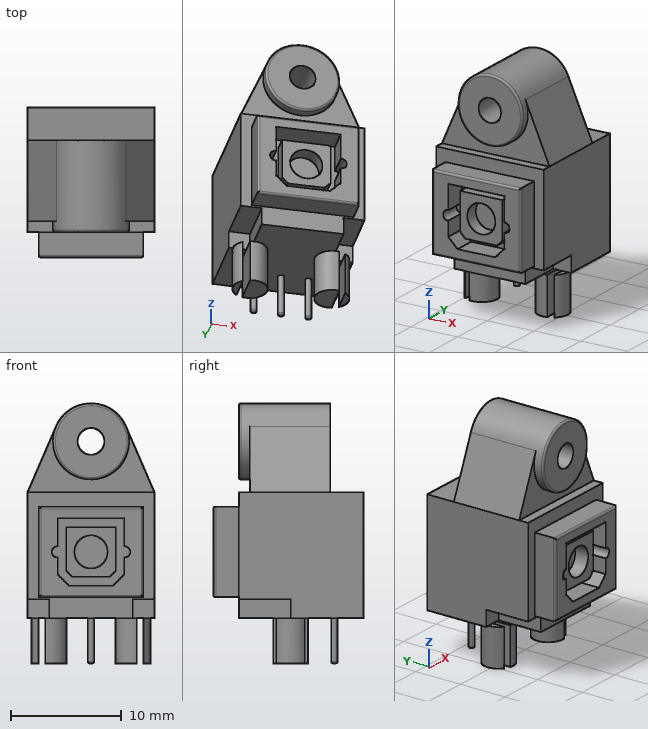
import cadquery as cq
import math


total_depth = 13.6
total_height = 23.55

body_width = 11.5
body_depth = 11.3
body_height = 11.4
corner_notch_height = 1.7
corner_notch_depth = 4.7

ear_diameter = 6.9
ear_radius = ear_diameter / 2
ear_depth = 8.3
ear_center_z = 16.0
ear_hole_diameter = 2.4
ear_rim_fillet = 0.2
web_setback = 1.0

port_width = 9.46
port_height = 8.2
port_length = total_depth - body_depth
port_center_z = 6.0
port_edge_fillet = 0.2
pocket_width = 6.0
pocket_height = 6.1
pocket_corner = 1.0
pocket_depth = port_length
core_size = 4.5
core_corner = 0.55
core_setback = 0.85
core_bore_diameter = 3.0
key_width = 1.0
key_span = 7.1

leg_length = total_height - ear_center_z - ear_radius
leg_diameter = 3.2
leg_x = 3.8
leg_y = corner_notch_depth
leg_slot_width = 0.6
leg_slot_offset = 0.65
lead_diameter = 0.6
lead_y = 8.65
lead_tip_fillet = 0.2
side_lead_x = 2.54

port_front_y = -port_length


def box_between(x_range, y_range, z_range):
    """Box spanning the given (low, high) ranges."""
    sizes = [high - low for low, high in (x_range, y_range, z_range)]
    corner = (x_range[0], y_range[0], z_range[0])
    return cq.Workplane("XY").box(*sizes, centered=False).translate(corner)


def plane_at(y, z):
    """Workplane at the given Y and Z whose normal points to +Y and whose local Y is +Z."""
    return cq.Workplane(cq.Plane(origin=(0, y, z), xDir=(-1, 0, 0), normal=(0, 1, 0)))


def prism_with_cut_bottom(y, width, height, corner, depth):
    """Rectangular prism centred on the port axis with its two lower edges bevelled."""
    prism = plane_at(y, port_center_z).rect(width, height).extrude(depth)
    return prism.faces("<Z").edges("|Y").chamfer(corner)


def make_housing():
    half_width = body_width / 2
    housing = box_between((-half_width, half_width), (0, body_depth), (0, body_height))
    for x_range in ((-half_width, -leg_x), (leg_x, half_width)):
        notch = box_between(x_range, (0, corner_notch_depth), (0, corner_notch_height))
        housing = housing.cut(notch)
    return housing


def make_ear():
    half_width = body_width / 2
    drop = ear_center_z - body_height
    corner_distance = math.hypot(half_width, drop)
    tangent_angle = math.acos(ear_radius / corner_distance) - math.atan2(drop, half_width)
    tangent_x = ear_radius * math.cos(tangent_angle)
    tangent_z = ear_radius * math.sin(tangent_angle)
    web = (
        plane_at(web_setback, ear_center_z)
        .moveTo(-half_width, -drop)
        .lineTo(half_width, -drop)
        .lineTo(tangent_x, tangent_z)
        .threePointArc((0, ear_radius), (-tangent_x, tangent_z))
        .close()
        .extrude(ear_depth - web_setback)
    )
    barrel = plane_at(0, ear_center_z).circle(ear_radius).extrude(ear_depth)
    barrel = barrel.faces("<Y").edges().fillet(ear_rim_fillet)
    hole = plane_at(0, ear_center_z).circle(ear_hole_diameter / 2).extrude(ear_depth)
    return web.union(barrel).cut(hole)


def make_port():
    port = plane_at(port_front_y, port_center_z).rect(port_width, port_height).extrude(port_length)
    return port.faces("<Y").edges().fillet(port_edge_fillet)


def make_port_cavity():
    """Keyed pocket with a bored core left standing in its middle."""
    pocket = prism_with_cut_bottom(port_front_y, pocket_width, pocket_height, pocket_corner, pocket_depth)
    keyway = plane_at(port_front_y, port_center_z).slot2D(key_span, key_width).extrude(pocket_depth)
    core_length = pocket_depth - core_setback
    core_front_y = port_front_y + core_setback
    core = prism_with_cut_bottom(core_front_y, core_size, core_size, core_corner, core_length)
    bore = plane_at(core_front_y, port_center_z).circle(core_bore_diameter / 2).extrude(core_length)
    return pocket.union(keyway).cut(core.cut(bore))


def make_leg(side):
    """Split round leg; side is -1 or +1 along X."""
    leg = cq.Workplane("XY").center(side * leg_x, leg_y).circle(leg_diameter / 2).extrude(-leg_length)
    slot_x = side * (leg_x + leg_slot_offset)
    slot = (
        cq.Workplane("XY")
        .center(slot_x, leg_y)
        .rect(leg_slot_width, leg_diameter)
        .extrude(-leg_length)
    )
    return leg.cut(slot)


def make_lead(x):
    lead = cq.Workplane("XY").center(x, lead_y).circle(lead_diameter / 2).extrude(-leg_length)
    return lead.faces("<Z").edges().fillet(lead_tip_fillet)


result = make_housing().union(make_ear()).union(make_port()).cut(make_port_cavity())
for leg_side in (-1, 1):
    result = result.union(make_leg(leg_side))
for lead_x in (-side_lead_x, 0, side_lead_x):
    result = result.union(make_lead(lead_x))